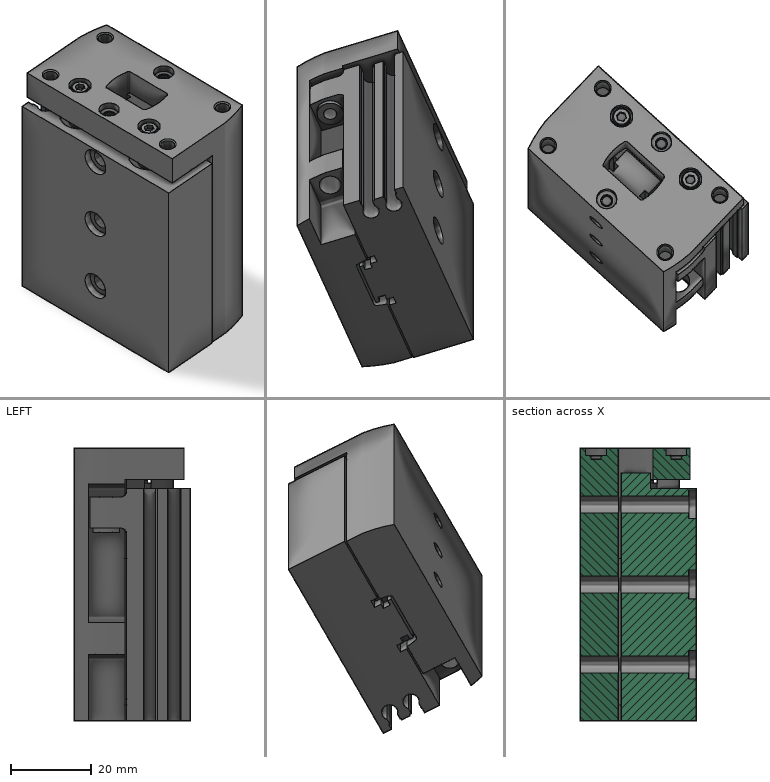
import cadquery as cq
import math


width = 50.0
depth = 29.0
height = 68.0
pitch = 20.0

housing_height = 58.0
housing_depth = 15.9
cover_gap = 0.4

table_half_width = 24.75
table_front = 1.55
table_face = housing_depth + cover_gap
plate_bottom = 60.2
side_bend = 21.0
side_middle_y = 25.35
side_middle_inset = 0.7
side_back_inset = 1.6

recess_inner_x = -15.6
recess_back = 25.35
recess_top = 59.1
recess_fillet = 1.55
table_lug_height = 7.95
table_lug_bottom = 16.6
table_lug_hole = 5.45
lug_axis = (-20.8, side_bend)

housing_lug_bottom = 48.1
housing_lug_height = 7.75
housing_lug_inner_x = -16.0
housing_lug_back = 25.0
lug_root_fillet = 1.55
stop_diameter = 6.6
stop_length = 1.1
stop_hole = 3.25

rail_half_width = 5.85
rail_front = 11.4
rail_back = 18.8
rail_top = 61.9
track_depth = 1.3
track_front = 15.9
track_back = 17.8
runner_bottom = 3.9
runner_top = 40.45
end_cap_height = 1.55
end_cap_setback = 0.2
runner_front = 14.4
trough_floor = 14.15
trough_half_width = 7.75

window_front = 10.8
window_back = 19.45
window_end_half_width = 6.6
window_half_width = 7.3
window_corner = 0.7

side_step = (2.3, 11.7)
side_step_depth = 1.0
back_groove_y = 10.1
back_groove_mouth = (8.15, 11.7)
front_groove_y = 4.1
front_groove_mouth = (2.3, 5.7)
groove_mouth_depth = 1.35
groove_neck_width = 2.9
groove_neck_depth = 2.85
groove_diameter = 4.0

mount_hole = 4.15
mount_bore = 7.0
mount_bore_depth = 1.85

back_row = 25.0
front_row = back_row - pitch
corner_hole = 3.5
corner_mouth = 4.15
corner_depth = 6.8
screw_bore = 5.0
screw_bore_depth = 1.8
screw_socket = 3.0
screw_socket_depth = 0.2
screw_hole = 2.45
screw_hole_depth = 2.7
rod_x = 11.75
rod_y = 7.0
rod_diameter = 5.6
rod_bore_depth = 1.8
rod_head = 4.5
rod_head_height = 1.2
rod_head_chamfer = 0.3
rod_socket = 2.45
rod_socket_depth = 1.35
rod_recess = 10.0
rod_recess_depth = 1.6
rod_recess_floor = housing_height - rod_recess_depth

plug_place = (pitch, 11.9)
plug_diameter = 6.0
plug_height = 1.3
plug_tip_diameter = 2.45
plug_tip_height = 0.7


def box(x_range, y_range, z_range):
    """A box between two limits on each axis."""
    (x0, x1), (y0, y1), (z0, z1) = x_range, y_range, z_range
    return cq.Workplane("XY").box(x1 - x0, y1 - y0, z1 - z0, centered=False).translate((x0, y0, z0))


def upright(place, diameter, bottom, length):
    """A cylinder parallel to Z."""
    return cq.Workplane("XY", origin=(*place, bottom)).circle(diameter / 2).extrude(length)


def sinking(places, diameter, length):
    """Cylinders that go down from the top face, for cutting holes."""
    return cq.Workplane("XY", origin=(0, 0, height)).pushPoints(places).circle(diameter / 2).extrude(-length)


def mounting_holes(diameter, length):
    """Cylinders along Y, one for each hole in the mounting face."""
    centres = [(0, height / 2 + step * pitch) for step in (-1, 0, 1)]
    return cq.Workplane("XZ").pushPoints(centres).circle(diameter / 2).extrude(-length)


def bowed_outline(half_width, front):
    """Outline with flat sides that curve inward toward the back."""
    middle_x = half_width - side_middle_inset
    back_x = half_width - side_back_inset
    return (
        cq.Workplane("XY")
        .moveTo(-half_width, front)
        .lineTo(half_width, front)
        .lineTo(half_width, side_bend)
        .threePointArc((middle_x, side_middle_y), (back_x, depth))
        .lineTo(-back_x, depth)
        .threePointArc((-middle_x, side_middle_y), (-half_width, side_bend))
        .close()
    )


def window(bottom, top):
    """The window shape, with straight front and back and bowed ends."""
    middle_y = (window_front + window_back) / 2
    return (
        cq.Workplane("XY", origin=(0, 0, bottom))
        .moveTo(-window_end_half_width, window_front)
        .lineTo(window_end_half_width, window_front)
        .threePointArc((window_half_width, middle_y), (window_end_half_width, window_back))
        .lineTo(-window_end_half_width, window_back)
        .threePointArc((-window_half_width, middle_y), (-window_end_half_width, window_front))
        .close()
        .extrude(top - bottom)
        .edges("|Z")
        .fillet(window_corner)
    )


def rail(bottom, top):
    """The guide rail, with a square track along each side."""
    track_x = rail_half_width - track_depth
    body = box((-rail_half_width, rail_half_width), (rail_front, rail_back), (bottom, top))
    for inner, outer in ((track_x, rail_half_width), (-rail_half_width, -track_x)):
        body = body.cut(box((inner, outer), (track_front, track_back), (bottom, top)))
    return body


def sensor_groove(neck_y, mouth_range):
    """A keyhole groove in the -X side: a wide mouth, a narrower neck and a round bottom."""
    face_x = -width / 2
    half_neck = groove_neck_width / 2
    radius = groove_diameter / 2
    round_x = face_x + groove_neck_depth + math.sqrt(radius**2 - half_neck**2)
    neck = box((face_x, round_x), (neck_y - half_neck, neck_y + half_neck), (0, housing_height))
    mouth = box((face_x, face_x + groove_mouth_depth), mouth_range, (0, housing_height))
    return upright((round_x, neck_y), groove_diameter, 0, housing_height).union(neck).union(mouth)


def housing_lug():
    """The stop lug at the side of the housing, filleted into the block."""
    low = housing_lug_bottom
    high = low + housing_lug_height
    spread = lug_root_fillet
    profile = (
        cq.Workplane("YZ", origin=(-width / 2, 0, 0))
        .moveTo(housing_depth, low - spread)
        .radiusArc((housing_depth + spread, low), spread)
        .lineTo(housing_lug_back, low)
        .lineTo(housing_lug_back, high)
        .lineTo(housing_depth + spread, high)
        .radiusArc((housing_depth, high + spread), spread)
        .close()
        .extrude(width / 2 + housing_lug_inner_x)
    )
    lug = profile.intersect(bowed_outline(width / 2, 0).extrude(height))
    lug = lug.union(upright(lug_axis, stop_diameter, low - stop_length, stop_length))
    return lug.cut(upright(lug_axis, stop_hole, low - stop_length, housing_lug_height + stop_length))


def make_housing():
    """The fixed block, with its rail, stop lug, plug, grooves and mounting holes."""
    block = box((-width / 2, width / 2), (0, housing_depth), (0, housing_height))
    trough = box(
        (-trough_half_width, trough_half_width), (trough_floor, housing_depth), (0, housing_height)
    )
    body = block.cut(trough).union(rail(0, rail_top)).union(housing_lug())
    body = body.cut(box((-width / 2, side_step_depth - width / 2), side_step, (0, housing_height)))
    body = body.cut(sensor_groove(back_groove_y, back_groove_mouth))
    body = body.cut(sensor_groove(front_groove_y, front_groove_mouth))
    for x in (-rod_x, rod_x):
        body = body.cut(upright((x, rod_y), rod_recess, rod_recess_floor, rod_recess_depth))
    body = body.cut(mounting_holes(mount_hole, depth))
    body = body.cut(mounting_holes(mount_bore, mount_bore_depth))
    body = body.union(upright(plug_place, plug_diameter, housing_height, plug_height))
    tip_bottom = housing_height + plug_height
    return body.union(upright(plug_place, plug_tip_diameter, tip_bottom, plug_tip_height))


def side_recess(bottom, top, rounded_ends):
    """A cutter for the recess in the -X side, with fillets at the inner corners named."""
    cutter = box((-width / 2, recess_inner_x), (table_face, recess_back), (bottom, top))
    return cutter.edges(rounded_ends).fillet(recess_fillet)


def runner():
    """The runner in the rail channel, with an end cap set back from its sides."""
    filled = window(runner_bottom, runner_top)
    ahead = box((-width, width), (0, runner_front), (0, height))
    behind = box((-rail_half_width, rail_half_width), (rail_back, window_back), (0, height))
    cap_x = window_half_width - end_cap_setback
    cap_top = runner_bottom + end_cap_height
    filled = filled.cut(ahead).cut(behind).cut(rail(0, height))
    for inner, outer in ((cap_x, width), (-width, -cap_x)):
        filled = filled.cut(box((inner, outer), (0, table_face), (0, cap_top)))
    return filled


def cut_plate_holes(body):
    """Corner threads, middle screws and the rod bores, all from the top face."""
    rows = (front_row, back_row)
    corners = [(x, y) for x in (-pitch, pitch) for y in rows]
    middles = [(0, y) for y in rows]
    chamfer = (corner_mouth - corner_hole) / 2
    body = body.cut(sinking(corners, corner_hole, corner_depth))
    for x, y in corners:
        mouth = cq.Solid.makeCone(
            corner_hole / 2, corner_mouth / 2, chamfer, cq.Vector(x, y, height - chamfer)
        )
        body = body.cut(cq.Workplane(mouth))
    body = body.cut(sinking(middles, screw_bore, screw_bore_depth))
    body = body.cut(sinking(middles, screw_socket, screw_bore_depth + screw_socket_depth))
    body = body.cut(sinking(middles, screw_hole, screw_hole_depth))
    return body.cut(sinking([(-rod_x, rod_y), (rod_x, rod_y)], rod_diameter, rod_bore_depth))


def rod_end(x):
    """A piston rod fixed in the plate, reaching down into the recess in the housing."""
    floor = height - rod_bore_depth
    rod = upright((x, rod_y), rod_diameter, rod_recess_floor, floor - rod_recess_floor)
    head = upright((x, rod_y), rod_head, floor, rod_head_height).edges(">Z").chamfer(rod_head_chamfer)
    socket = (
        cq.Workplane("XY", origin=(x, rod_y, floor + rod_head_height))
        .transformed(rotate=(0, 0, 90))
        .polygon(6, rod_socket)
        .extrude(-rod_socket_depth)
    )
    rod = rod.union(head)
    return rod.cut(socket)


def make_table():
    """The moving table: top plate, back wall, stop lug, runner and rod ends."""
    body = bowed_outline(table_half_width, table_front).extrude(height)
    body = body.cut(box((-width, width), (0, table_face), (0, plate_bottom)))
    lug_top = table_lug_bottom + table_lug_height
    body = body.cut(side_recess(lug_top, recess_top, ">X and |Y"))
    body = body.cut(side_recess(0, table_lug_bottom, ">X and >Z"))
    body = body.cut(upright(lug_axis, table_lug_hole, table_lug_bottom, table_lug_height))
    body = body.cut(window(0, height)).union(runner())
    body = cut_plate_holes(body)
    for x in (-rod_x, rod_x):
        body = body.union(rod_end(x))
    return body.cut(mounting_holes(mount_hole, depth))


housing = make_housing()
table = make_table()

result = cq.Compound.makeCompound([housing.val(), table.val()])